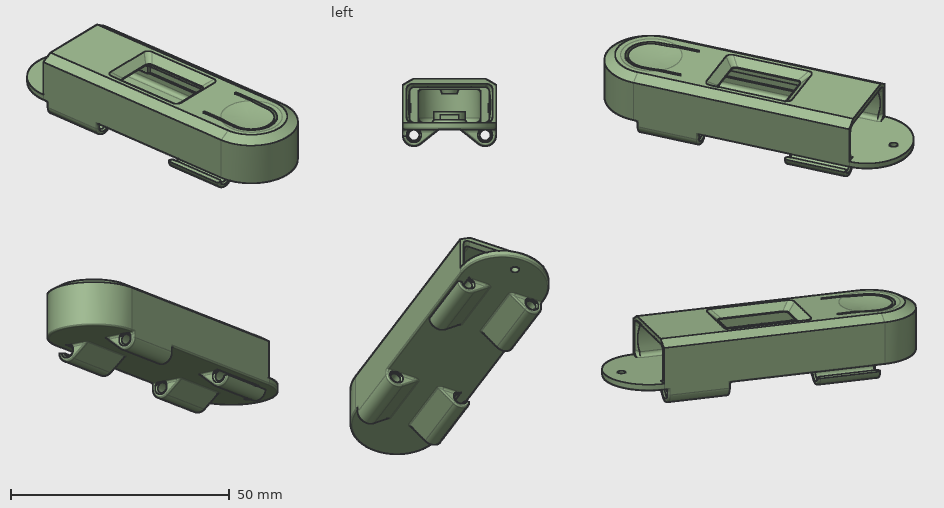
import cadquery as cq
import math

length = 74.7
width = 21.4
end_radius = width / 2
height = 11.65
base_thickness = 1.6
roof_bevel_height = 1.4
roof_bevel_width = 2.5
mouth_x = end_radius
rear_center_x = length - end_radius

cord_hole_x = 4.1
cord_hole_diameter = 1.9

lug_length = 15.0
front_lug_gap = 11.7
rear_lug_gap = 11.6
lug_radius = 2.55
lug_hole_diameter = 2.5
lug_axis_y = end_radius - lug_radius
lug_axis_z = -1.3
web_foot_y = 2.5
clip_lip_z = -1.6
lug_root_radius = 0.5
rim_radius = 0.4
lug_hole_bevel = 0.45

wall = 1.6
roof_underside = 9.7
cavity_end_x = 52.3
cavity_corner_radius = 1.05
mouth_flare = 0.75
mouth_flare_depth = 1.0
catch_bottom = 3.95
catch_top = 5.9
catch_projection = 0.3
catch_start_x = 20.2
catch_end_x = 25.4
groove_wall = 1.05
bulge_bottom = base_thickness + cavity_corner_radius
bulge_top = roof_underside - cavity_corner_radius
bulge_wall = 1.3

chamber_radius = 7.1
chamber_top = 9.2
chamber_top_radius = 0.75
chamber_floor_radius = 1.1

post_radius = 3.6
post_top = 4.0
post_cap_bottom = 3.35
post_flat_half_width = 2.1
skirt_height = 0.7
skirt_spread = 0.4
plunger_bottom = 8.2
plunger_top_radius = 2.1
plunger_tip_radius = 1.7

dish_radius = 7.0
dish_depth = 0.6
slot_outer_radius = 5.9
slot_width = 0.7
slot_start_x = 54.4

window_center_x = length / 2
window_length = 21.15
window_width = 14.2
window_slope = 2.1
window_slope_bottom = 9.9
window_corner_radius = 1.3
window_inner_corner_radius = 1.05

tolerance = 0.01
overlap = 0.75


def box(x0, x1, y0, y1, z0, z1):
    """Box between opposite corners."""
    return cq.Workplane("XY").box(x1 - x0, y1 - y0, z1 - z0, centered=False).translate((x0, y0, z0))


def rounded_rectangle(size_u, size_v, corner_radius):
    """Sketch of a rectangle with round corners."""
    return cq.Sketch().rect(size_u, size_v).vertices().fillet(corner_radius)


def stadium(bottom):
    """Sketch of the rounded plan outline, ready to extrude."""
    plane = cq.Workplane("XY", origin=(length / 2, 0, bottom))
    return plane.slot2D(length, width)


def make_shell():
    """Base plate with a round tab, and the bevelled housing on it."""
    base = stadium(0).extrude(base_thickness)
    bevel_angle = math.degrees(math.atan(roof_bevel_width / roof_bevel_height))
    bevel_bottom = height - roof_bevel_height
    upper = stadium(0).extrude(bevel_bottom)
    upper = upper.union(stadium(bevel_bottom).extrude(roof_bevel_height, taper=bevel_angle))
    upper = upper.intersect(box(mouth_x, length, -width, width, 0, height))
    return base.union(upper)


def make_lug(start_x, side, is_clip):
    """Lug flush with one side wall, its web sloping back to the base; a clip lug is open outward."""
    to_foot_y = web_foot_y - lug_axis_y
    to_foot_z = -lug_axis_z
    foot_distance = math.hypot(to_foot_y, to_foot_z)
    tangent_angle = math.atan2(to_foot_z, to_foot_y) + math.acos(lug_radius / foot_distance)
    mid_angle = (tangent_angle + 2 * math.pi) / 2

    def on_rim(angle):
        y = lug_axis_y + lug_radius * math.cos(angle)
        return side * y, lug_axis_z + lug_radius * math.sin(angle)

    lug = (
        cq.Workplane("YZ", origin=(start_x, 0, 0))
        .moveTo(side * end_radius, overlap)
        .lineTo(side * end_radius, lug_axis_z)
        .threePointArc(on_rim(mid_angle), on_rim(tangent_angle))
        .lineTo(side * web_foot_y, 0)
        .lineTo(side * web_foot_y, overlap)
        .close()
        .extrude(lug_length)
    )
    if is_clip:
        opening_y = sorted((side * lug_axis_y, side * width))
        lug = lug.cut(box(start_x, start_x + lug_length, *opening_y, clip_lip_z, overlap))
    return lug


def make_lug_bore(start_x, side):
    """Pin hole with bevelled ends."""
    radius = lug_hole_diameter / 2
    bore = (
        cq.Workplane("YZ", origin=(start_x - overlap, side * lug_axis_y, lug_axis_z))
        .circle(radius)
        .extrude(lug_length + 2 * overlap)
    )
    for face_x, direction in ((start_x, 1), (start_x + lug_length, -1)):
        bevel = cq.Solid.makeCone(
            radius + lug_hole_bevel, radius, lug_hole_bevel,
            cq.Vector(face_x, side * lug_axis_y, lug_axis_z), cq.Vector(direction, 0, 0),
        )
        below_base = box(0, length, -width, width, lug_axis_z - width, 0)
        bore = bore.union(cq.Workplane(bevel).intersect(below_base))
    return bore


def make_cavity():
    """Cavity with a flared mouth; each side wall has a front bulge, then a catch, then a groove."""
    half = width / 2 - wall
    cavity = box(mouth_x, cavity_end_x, -half, half, base_thickness, roof_underside)
    cavity = cavity.edges("|X").fillet(cavity_corner_radius)

    cavity_height = roof_underside - base_thickness
    cavity_mid_z = base_thickness + cavity_height / 2
    inner = rounded_rectangle(2 * half, cavity_height, cavity_corner_radius)
    outer = rounded_rectangle(
        2 * (half + mouth_flare), cavity_height + mouth_flare, cavity_corner_radius + mouth_flare / 2)
    inner = inner.moved(cq.Location(cq.Vector(0, -mouth_flare / 2, mouth_flare_depth)))
    flare = (
        cq.Workplane("YZ", origin=(mouth_x, 0, cavity_mid_z + mouth_flare / 2))
        .placeSketch(outer, inner)
        .loft()
    )
    cavity = cavity.union(flare)

    bulge_mid_z = (bulge_bottom + bulge_top) / 2
    for side in (-1, 1):
        bulge = (
            cq.Workplane("YZ", origin=(mouth_x, 0, 0))
            .moveTo(side * half, bulge_bottom)
            .threePointArc((side * (end_radius - bulge_wall), bulge_mid_z), (side * half, bulge_top))
            .close()
            .extrude(catch_start_x - mouth_x)
        )
        cavity = cavity.union(bulge)

        catch = (
            cq.Workplane("XY", origin=(0, 0, catch_bottom))
            .moveTo(catch_start_x, side * half)
            .lineTo(catch_start_x + catch_projection, side * (half - catch_projection))
            .lineTo(catch_end_x, side * (half - catch_projection))
            .lineTo(catch_end_x, side * (half + overlap))
            .lineTo(catch_start_x, side * (half + overlap))
            .close()
            .extrude(catch_top - catch_bottom)
        )
        cavity = cavity.cut(catch)

        groove_y = sorted((side * (half - overlap), side * (end_radius - groove_wall)))
        cavity = cavity.union(box(catch_end_x, cavity_end_x, *groove_y, catch_bottom, catch_top))
    return cavity


def make_chamber():
    """Round-ended rear chamber, holding a post below and a plunger above."""
    chamber_height = chamber_top - base_thickness
    straight = box(
        cavity_end_x - overlap, rear_center_x, -chamber_radius, chamber_radius, base_thickness, chamber_top)
    straight = straight.edges("|X and >Z").fillet(chamber_top_radius)
    round_end = (
        cq.Workplane("XY", origin=(rear_center_x, 0, base_thickness))
        .circle(chamber_radius)
        .extrude(chamber_height)
    )
    round_end = round_end.faces("<Z").edges().fillet(chamber_floor_radius)
    round_end = round_end.intersect(box(rear_center_x, length, -width, width, 0, height))
    chamber = straight.union(round_end)

    post = cq.Workplane("XY", origin=(rear_center_x, 0, 0)).circle(post_radius).extrude(post_top)
    flat_x = rear_center_x - math.sqrt(post_radius ** 2 - post_flat_half_width ** 2)
    post = post.cut(box(0, flat_x, -width, width, 0, post_cap_bottom))
    skirt = cq.Solid.makeCone(
        post_radius + skirt_spread, post_radius, skirt_height,
        cq.Vector(rear_center_x, 0, base_thickness), cq.Vector(0, 0, 1),
    )
    plunger = cq.Solid.makeCone(
        plunger_tip_radius, plunger_top_radius, chamber_top - plunger_bottom,
        cq.Vector(rear_center_x, 0, plunger_bottom), cq.Vector(0, 0, 1),
    )
    return chamber.cut(post).cut(cq.Workplane(skirt)).cut(cq.Workplane(plunger))


def make_dish():
    """Shallow spherical thumb dish in the roof."""
    sphere_radius = (dish_radius ** 2 + dish_depth ** 2) / (2 * dish_depth)
    center = (rear_center_x, 0, height - dish_depth + sphere_radius)
    return cq.Workplane("XY").sphere(sphere_radius).translate(center)


def make_button_slot():
    """U-shaped slot that frees the push button from the roof."""
    mid_radius = slot_outer_radius - slot_width / 2
    leg_start_x = slot_start_x + slot_width / 2
    depth = height - chamber_top + overlap
    path = (
        cq.Workplane("XY", origin=(0, 0, height - depth))
        .moveTo(leg_start_x, -mid_radius)
        .lineTo(rear_center_x, -mid_radius)
        .threePointArc((rear_center_x + mid_radius, 0), (rear_center_x, mid_radius))
        .lineTo(leg_start_x, mid_radius)
    )
    return path.offset2D(slot_width / 2).extrude(depth)


def make_window():
    """Rectangular opening through the roof with sloping sides."""
    slope_depth = height - window_slope_bottom
    outer = rounded_rectangle(window_length, window_width, window_corner_radius)
    inner = rounded_rectangle(
        window_length - 2 * window_slope, window_width - 2 * window_slope, window_inner_corner_radius)
    sloping = (
        cq.Workplane("XY", origin=(window_center_x, 0, window_slope_bottom))
        .placeSketch(inner, outer.moved(cq.Location(cq.Vector(0, 0, slope_depth))))
        .loft()
    )
    straight = (
        cq.Workplane("XY", origin=(window_center_x, 0, roof_underside))
        .placeSketch(inner)
        .extrude(window_slope_bottom - roof_underside)
    )
    return sloping.union(straight)


def is_rim_edge(edge):
    """True for the lower outer rim and for the outlines of the lug ends."""
    bounds = edge.BoundingBox()
    if bounds.zmax > tolerance:
        return False
    on_wall = min(abs(bounds.ymin), abs(bounds.ymax)) > end_radius - tolerance
    if bounds.zmin > -tolerance:
        return on_wall
    is_lug_end = bounds.xlen < tolerance
    is_upright = bounds.ylen < tolerance
    is_level = bounds.zlen < tolerance
    return is_lug_end and not is_level and (on_wall or not is_upright)


front_lug_x = front_lug_gap
rear_lug_x = length - rear_lug_gap - lug_length
lugs = [
    (front_lug_x, -1, False),
    (front_lug_x, 1, True),
    (rear_lug_x, -1, True),
    (rear_lug_x, 1, False),
]

body = make_shell()
for lug_x, lug_side, lug_is_clip in lugs:
    body = body.union(make_lug(lug_x, lug_side, lug_is_clip))
body = body.clean()

body = body.newObject([edge for edge in body.edges().vals() if is_rim_edge(edge)]).fillet(rim_radius)

for lug_x in (front_lug_x, rear_lug_x):
    root_zone = cq.selectors.BoxSelector(
        (lug_x - overlap, -width, -tolerance), (lug_x + lug_length + overlap, width, tolerance))
    body = body.edges(root_zone).edges("|Y").fillet(lug_root_radius)

for lug_x, lug_side, _ in lugs:
    body = body.cut(make_lug_bore(lug_x, lug_side))

body = body.cut(make_cavity()).cut(make_window()).cut(make_chamber())
body = body.cut(make_dish()).cut(make_button_slot())

cord_hole = cq.Workplane("XY").center(cord_hole_x, 0).circle(cord_hole_diameter / 2)
result = body.cut(cord_hole.extrude(base_thickness))